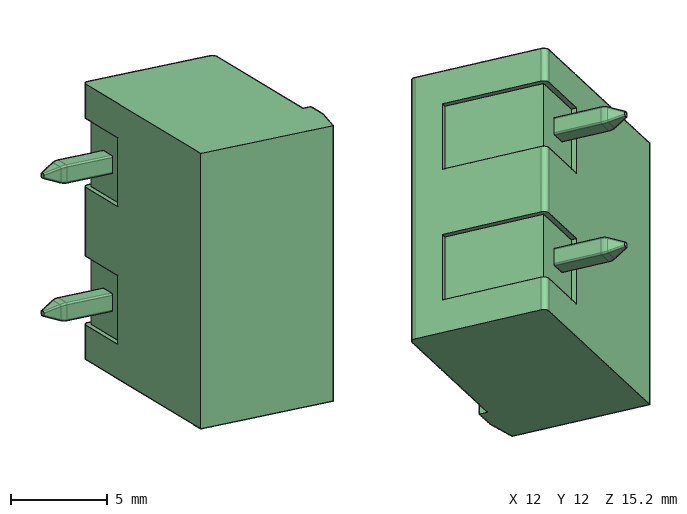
import cadquery as cq

housing_length = 12.0
housing_depth = 7.9
housing_height = 15.24
corner_radius = 0.3

ridge_start = 9.0
ridge_slope_start = 10.27
ridge_height = 0.47
ridge_end_height = 0.06

pole_count = 2
pitch = housing_height / pole_count

recess_height = pitch / 2
recess_length = 3.5
recess_depth_along_side = 6.0
recess_depth = corner_radius

pin_width = 1.0
pin_center_x = 2.0
pin_projection = 3.6
taper_length = 1.0
tip_width = 0.27
shoulder_radius = 1.0
pin_edge_radius = 0.09


def make_housing():
    outline = [
        (0, 0),
        (housing_length, 0),
        (housing_length, housing_depth + ridge_end_height),
        (ridge_slope_start, housing_depth + ridge_height),
        (ridge_start, housing_depth + ridge_height),
        (ridge_start, housing_depth),
        (0, housing_depth),
    ]
    block = cq.Workplane("XY").polyline(outline).close().extrude(housing_height)
    return block.edges("|Z and <X").fillet(corner_radius)


def make_recess(center_z):
    """L-shaped cutter that lowers the front face and the side face by the same depth."""
    bottom_z = center_z - recess_height / 2
    front = cq.Workplane("XY").box(recess_length, recess_depth, recess_height, centered=False)
    side = cq.Workplane("XY").box(recess_depth, recess_depth_along_side, recess_height, centered=False)
    return front.union(side).translate((0, 0, bottom_z))


def make_pin_profile():
    """Slab with the pin outline in the XY plane, rooted at the recess floor."""
    half_width = pin_width / 2
    half_tip = tip_width / 2
    shoulder_y = taper_length - pin_projection
    outline = [
        (-half_width, recess_depth),
        (half_width, recess_depth),
        (half_width, shoulder_y),
        (half_tip, -pin_projection),
        (-half_tip, -pin_projection),
        (-half_width, shoulder_y),
    ]
    slab = cq.Workplane("XY").polyline(outline).close().extrude(half_width, both=True)
    return slab.edges("|Z and (not <Y) and (not >Y)").fillet(shoulder_radius)


def make_pin(center_z):
    """Pin with the same shoulder and taper on all four sides and rounded lengthwise edges."""
    across_x = make_pin_profile()
    across_z = across_x.rotate((0, 0, 0), (0, 1, 0), 90)
    pin = across_x.intersect(across_z)
    pin = pin.edges("not #Y").fillet(pin_edge_radius)
    return pin.translate((pin_center_x, 0, center_z))


part = make_housing()
for pole in range(pole_count):
    center_z = (pole + 0.5) * pitch
    part = part.cut(make_recess(center_z)).union(make_pin(center_z))
result = part